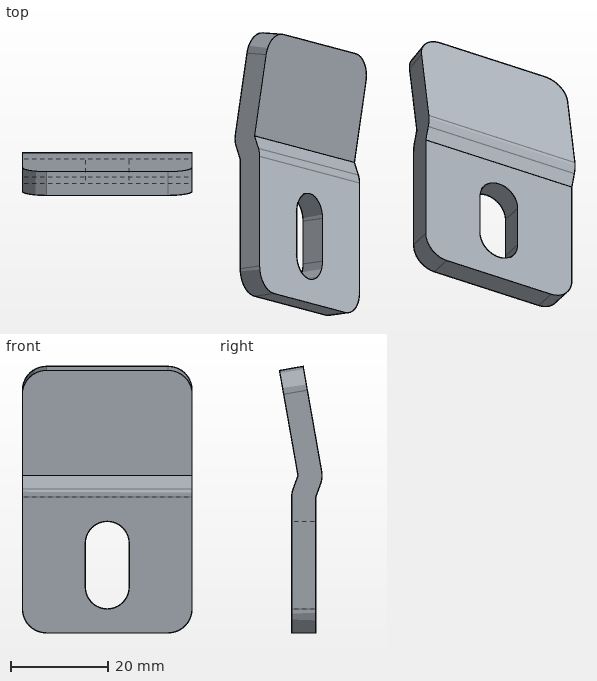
import cadquery as cq
import math

width = 35.0
thickness = 5.0
overall_height = 55.0
lower_leg_height = 28.0
upper_leg_length = 22.0
web_angle = 20.0
upper_leg_angle = 10.0
corner_radius = 5.0
slot_width = 9.0
slot_length = 18.0
slot_bottom = 5.0


def polar(origin, distance, elevation):
    """Point in the YZ plane at a distance and elevation (degrees above +Y) from an origin."""
    angle = math.radians(elevation)
    return (
        origin[0] + distance * math.cos(angle),
        origin[1] + distance * math.sin(angle),
    )


def make_bent_strip():
    """Strip with two sharp-inside bends, each with an outside radius of one thickness."""
    lower_pivot = (thickness, lower_leg_height)
    lower_arc_start = (0, lower_leg_height)
    lower_arc_middle = polar(lower_pivot, thickness, 180 - web_angle / 2)
    lower_arc_end = polar(lower_pivot, thickness, 180 - web_angle)

    upper_leg_rise = upper_leg_length * math.cos(math.radians(upper_leg_angle))
    end_face_rise = thickness * math.sin(math.radians(upper_leg_angle))
    upper_pivot_z = overall_height - upper_leg_rise - end_face_rise
    web_rise = upper_pivot_z - lower_arc_end[1]
    web_length = web_rise / math.cos(math.radians(web_angle))

    upper_pivot = polar(lower_arc_end, web_length, 90 - web_angle)
    upper_arc_start = polar(upper_pivot, thickness, upper_leg_angle)
    upper_arc_middle = polar(upper_pivot, thickness, (upper_leg_angle - web_angle) / 2)
    upper_arc_end = polar(upper_pivot, thickness, -web_angle)
    top_front = polar(upper_pivot, upper_leg_length, 90 + upper_leg_angle)
    top_back = polar(top_front, thickness, upper_leg_angle)

    return (
        cq.Workplane("YZ")
        .moveTo(0, 0)
        .lineTo(*lower_arc_start)
        .threePointArc(lower_arc_middle, lower_arc_end)
        .lineTo(*upper_pivot)
        .lineTo(*top_front)
        .lineTo(*top_back)
        .lineTo(*upper_arc_start)
        .threePointArc(upper_arc_middle, upper_arc_end)
        .lineTo(*lower_pivot)
        .lineTo(thickness, 0)
        .close()
        .extrude(width / 2, both=True)
    )


def round_corners(strip):
    """Round the four outer corners, each through the thickness of its leg."""
    lean = math.radians(upper_leg_angle)
    upper_leg_normal = cq.Vector(0, math.cos(lean), math.sin(lean))
    bottom_corners = cq.selectors.ParallelDirSelector(cq.Vector(0, 1, 0))
    top_corners = cq.selectors.ParallelDirSelector(upper_leg_normal)
    upper_leg_direction = cq.Vector(0, -math.sin(lean), math.cos(lean))
    top_face = cq.selectors.DirectionMinMaxSelector(upper_leg_direction)

    rounded = strip.faces("<Z").edges(bottom_corners).fillet(corner_radius)
    return rounded.faces(top_face).edges(top_corners).fillet(corner_radius)


def make_slot():
    """Upright round-ended cutter through the lower leg."""
    slot_center_z = slot_bottom + slot_length / 2
    return (
        cq.Workplane("XZ")
        .center(0, slot_center_z)
        .slot2D(slot_length, slot_width, 90)
        .extrude(-thickness)
    )


result = round_corners(make_bent_strip()).cut(make_slot())